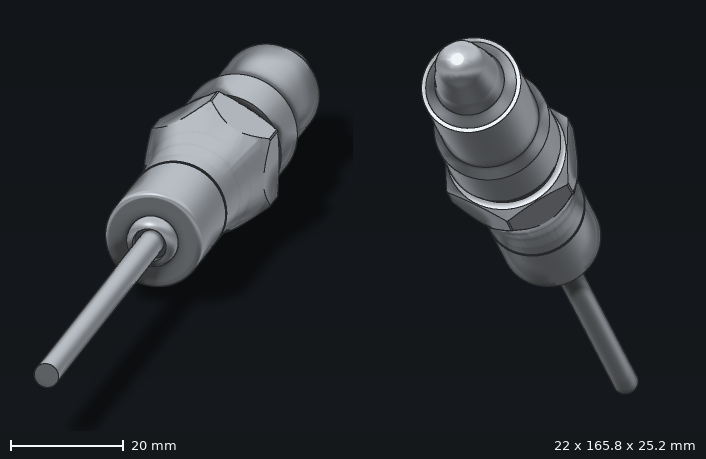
import cadquery as cq
import math


total_length = 165.76

tip_radius = 2.3 / 2
nose_dome_end = 3.65
nose_dome_radius = 9.3 / 2
nose_cone_end = 8.15
nose_cone_radius = 11.3 / 2
nose_flare_end = 11.65
nose_flare_radius = 12.6 / 2
nose_flare_hollow = 0.15
shoulder_start = 13.2
shoulder_radius = 16.4 / 2

body_radius = 18 / 2
collar_radius = 20.95 / 2
collar_chamfer_start = 31.15
collar_chamfer_end = 33.6
collar_end = 44.6
neck_radius = 19 / 2

ring_start = 45.6
ring_end = 47.1
ring_radius = 18.6 / 2

across_flats = 22.0
across_corners = 25.2
hex_start = 47.9
hex_chamfer_angle = 30
hex_face_radius = 21.6 / 2
taper_start = 54.0
taper_end = 72.6

body_end = 93.2
body_end_fillet = 1.0
parting_groove_start = 76.2
parting_groove_width = 0.5
parting_groove_depth = 0.1

gland_radius = 9.3 / 2
gland_round_start = 93.65
gland_bore_radius = 6.2 / 2
gland_bore_depth = 2.0
gland_end = 95.95
cable_radius = 4.53 / 2


def revolve(sketch):
    """Spin a closed half profile, drawn in XY, about the Y axis."""
    return sketch.close().revolve(360, (0, 0, 0), (0, 1, 0))


def disc(start, end, radius):
    """Cylinder on the axis between two stations."""
    return cq.Workplane("XZ").workplane(offset=start).circle(radius).extrude(end - start)


def make_nose_and_collar():
    flare_mid = (
        (nose_cone_radius + nose_flare_radius) / 2 - nose_flare_hollow,
        -(nose_cone_end + nose_flare_end) / 2,
    )
    return revolve(
        cq.Workplane("XY")
        .moveTo(0, 0)
        .lineTo(tip_radius, 0)
        .tangentArcPoint((nose_dome_radius, -nose_dome_end), relative=False)
        .lineTo(nose_cone_radius, -nose_cone_end)
        .threePointArc(flare_mid, (nose_flare_radius, -nose_flare_end))
        .lineTo(shoulder_radius, -shoulder_start)
        .lineTo(body_radius, -shoulder_start)
        .lineTo(body_radius, -collar_chamfer_start)
        .lineTo(collar_radius, -collar_chamfer_end)
        .lineTo(collar_radius, -collar_end)
        .lineTo(neck_radius, -collar_end)
        .lineTo(neck_radius, -ring_start)
        .lineTo(ring_radius, -ring_start)
        .lineTo(ring_radius, -ring_end)
        .lineTo(neck_radius, -ring_end)
        .lineTo(neck_radius, -hex_start)
        .lineTo(0, -hex_start)
    )


def make_hex_and_rear_body():
    corner_radius = across_corners / 2
    chamfer_length = (corner_radius - hex_face_radius) * math.tan(math.radians(hex_chamfer_angle))
    drop = corner_radius - body_radius
    taper_length = taper_end - taper_start
    taper_arc_radius = (drop**2 + taper_length**2) / (2 * drop)
    half_angle = math.asin(taper_length / taper_arc_radius) / 2
    taper_mid = (
        body_radius + taper_arc_radius * (1 - math.cos(half_angle)),
        -taper_end + taper_arc_radius * math.sin(half_angle),
    )
    turned = revolve(
        cq.Workplane("XY")
        .moveTo(0, -hex_start)
        .lineTo(hex_face_radius, -hex_start)
        .lineTo(corner_radius, -hex_start - chamfer_length)
        .lineTo(corner_radius, -taper_start)
        .threePointArc(taper_mid, (body_radius, -taper_end))
        .lineTo(body_radius, -body_end)
        .lineTo(0, -body_end)
    )
    circumscribed = across_flats / math.cos(math.pi / 6)
    prism = (
        cq.Workplane("XZ")
        .workplane(offset=hex_start)
        .transformed(rotate=(0, 0, 90))
        .polygon(6, circumscribed)
        .extrude(body_end - hex_start)
    )
    return turned.intersect(prism).faces("<Y").edges().fillet(body_end_fillet)


def make_gland():
    """Rounded collar with a shallow bore around the cable."""
    gland = disc(body_end, gland_end, gland_radius)
    gland = gland.faces("<Y").edges().fillet(gland_end - gland_round_start)
    return gland.cut(disc(gland_end - gland_bore_depth, gland_end, gland_bore_radius))


def make_cable():
    return disc(body_end, total_length, cable_radius)


def make_parting_groove():
    """Ring of material to remove for the shallow groove around the rear body."""
    groove_end = parting_groove_start + parting_groove_width
    core = disc(parting_groove_start, groove_end, body_radius - parting_groove_depth)
    return disc(parting_groove_start, groove_end, across_corners / 2).cut(core)


result = make_nose_and_collar().union(make_hex_and_rear_body())
result = result.union(make_gland()).union(make_cable())
result = result.cut(make_parting_groove())